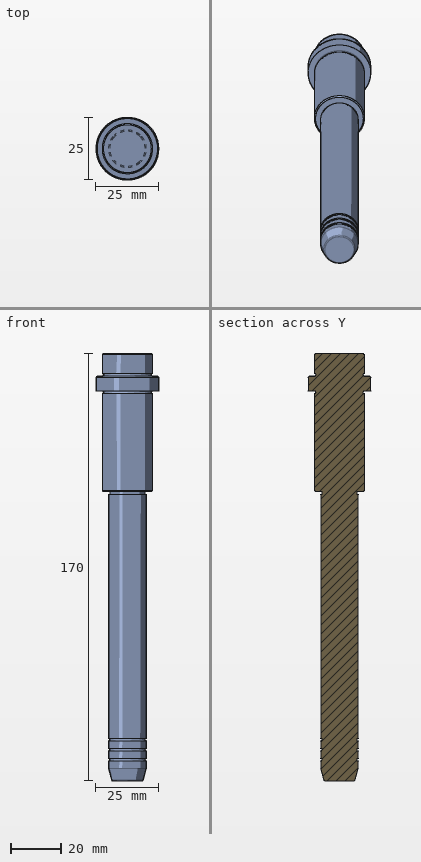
import cadquery as cq
import math

total_length = 170.0
nose_length = 5.0
shank_length = 115.0
head_length = 9.0
flange_thickness = 6.0
flange_top_z = total_length - head_length
flange_bottom_z = flange_top_z - flange_thickness

flange_radius = 12.5
body_radius = 10.0
shank_radius = 7.5
nose_half_angle = math.radians(15)
nose_tip_radius = shank_radius - nose_length * math.tan(nose_half_angle)

groove_radius = 0.5
groove_width = 2 * groove_radius
shank_groove_count = 3
shank_groove_pitch = 4.0
nose_to_groove = 3.0
lowest_shank_groove_z = nose_length + nose_to_groove

relief_width = 1.0
relief_depth = 0.5
relief_radius = shank_radius - relief_depth

edge_chamfer = 0.5
tip_fillet = 0.5


def add_groove(profile, outer_radius, bottom_z):
    """Extend the profile to and through a half-round groove, as two quarter arcs meeting at its floor."""
    middle_z = bottom_z + groove_radius
    diagonal = groove_radius * math.sqrt(0.5)
    floor = (outer_radius - groove_radius, middle_z)
    upper_rim = (outer_radius, bottom_z + groove_width)
    return (
        profile.lineTo(outer_radius, bottom_z)
        .threePointArc((outer_radius - diagonal, middle_z - diagonal), floor)
        .threePointArc((outer_radius - diagonal, middle_z + diagonal), upper_rim)
    )


def add_shank(profile):
    """Conical nose, grooved shank and the relief below the body."""
    profile = profile.lineTo(nose_tip_radius, 0).lineTo(shank_radius, nose_length)
    for index in range(shank_groove_count):
        profile = add_groove(profile, shank_radius, lowest_shank_groove_z + index * shank_groove_pitch)
    return (
        profile.lineTo(shank_radius, shank_length - relief_width)
        .lineTo(relief_radius, shank_length - relief_width)
        .lineTo(relief_radius, shank_length)
    )


def add_body(profile):
    """Body with a chamfered lower rim, ending in the groove below the flange."""
    profile = profile.lineTo(body_radius - edge_chamfer, shank_length)
    profile = profile.lineTo(body_radius, shank_length + edge_chamfer)
    return add_groove(profile, body_radius, flange_bottom_z - groove_width)


def add_flange(profile):
    """Flange with a sharp lower rim and a chamfered upper rim."""
    return (
        profile.lineTo(flange_radius, flange_bottom_z)
        .lineTo(flange_radius, flange_top_z - edge_chamfer)
        .lineTo(flange_radius - edge_chamfer, flange_top_z)
    )


def add_head(profile):
    """Head with a groove above the flange and a chamfered top rim."""
    return (
        add_groove(profile, body_radius, flange_top_z)
        .lineTo(body_radius, total_length - edge_chamfer)
        .lineTo(body_radius - edge_chamfer, total_length)
        .lineTo(0, total_length)
    )


half_profile = cq.Workplane("XZ").moveTo(0, 0)
for add_section in (add_shank, add_body, add_flange, add_head):
    half_profile = add_section(half_profile)

pin = half_profile.close().revolve(360, (0, 0, 0), (0, 1, 0), clean=False)
result = pin.faces("<Z").edges().fillet(tip_fillet)